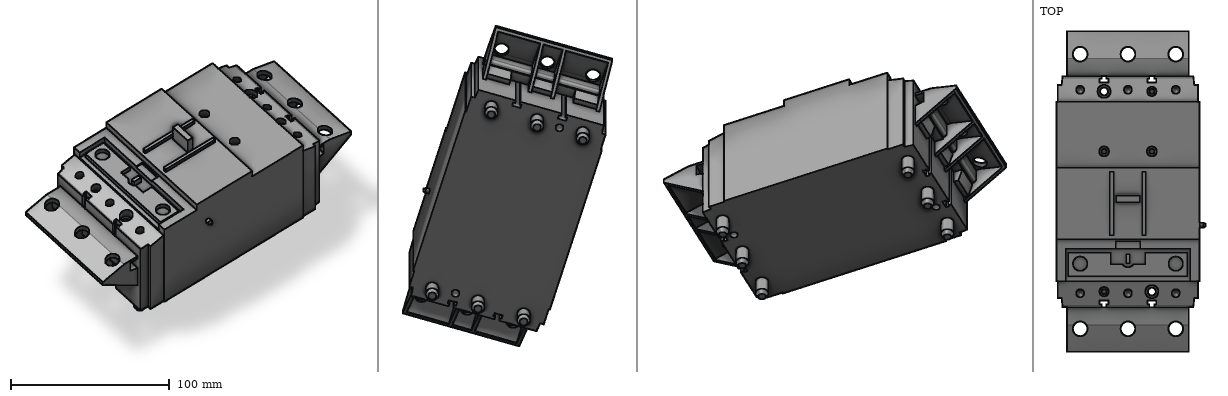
import cadquery as cq
import math


housing_width = 90.0
housing_half_length = 72.7
top_z = 67.9
main_half_length = 56.4
shoulder_y = 67.0
shoulder_half_width = 44.2
end_half_width_inner = 41.8
end_half_width_outer = 41.2
slope_high_z = 61.8
slope_low_z = 57.8
lip_length = 1.0

pole_pitch = 30.0
pole_xs = [-pole_pitch, 0, pole_pitch]
gap_x = pole_pitch / 2
terminal_y = 64.0

cover_back_y = 15.0
cover_front_y = -30.0
cover_top_z = 73.0
guide_back_y = 12.3
guide_front_y = -27.7
guide_inner_x = 9.0
guide_thickness = 2.2
guide_height = 2.5
handle_width = 14.7
handle_thickness = 4.0
handle_y = -4.6
handle_top_z = 84.2

recess_width = 78.5
recess_back_y = -36.2
recess_floor_z = 63.0
finger_width = 15.5
finger_back_y = -31.3
finger_floor_z = 66.9
panel_width = 75.0
panel_back_y = -38.5
panel_front_y = -53.3
panel_top_z = 66.3
panel_notch_width = 21.8
panel_notch_y = -45.9
dial_diameter = 8.0
dial_y = -43.6
window_diameter = 9.0
window_y = -45.5
slider_width = 2.5
slider_back_y = -39.5
slider_front_y = -45.2
slider_top_z = 67.3

terminal_hole_diameter = 5.0
terminal_hole_depth = 8.0
drill_tip_depth = 1.5
mount_y = 63.0
mount_hole_diameter = 4.8
mount_bore_diameter = 8.3
mount_bore_floor_z = 54.5
end_screw_diameter = 5.9
end_screw_floor_z = 54.5
cover_screw_y = 25.2
cover_screw_diameter = 6.3
cover_screw_depth = 6.0
screw_core_diameter = 3.2
screw_core_depth = 2.0

slot_stem_width = 3.0
slot_head_width = 5.5
slot_head_outer_y = 70.9
slot_head_inner_y = 68.7

plug_diameter = 8.0
plug_tip_diameter = 4.8
plug_length = 13.3
plug_tip_length = 3.0
side_pin_y = -21.2
side_pin_z = 52.0
side_pin_diameter = 3.2
side_pin_tip_diameter = 1.6
side_pin_length = 3.8
side_pin_tip_length = 1.5

shield_width = 76.8
shield_tip_y = 101.0
shield_bend_y = 83.8
shield_top_z = 48.7
shield_tip_top_z = 44.0
shield_tip_bottom_z = 41.2
shield_thickness = 3.8
window_top_z = 46.7
edge_bevel_depth = 2.0
shield_hole_y = 86.5
shield_hole_diameter = 9.0
rib_thickness = 2.2
rib_foot_z = 21.5
middle_rib_inner_x = 6.3
wall_inner_y = 78.5
wall_outer_y = 81.2
lip_foot_z = 37.5
lip_top_z = 39.2
lip_bottom_z = 33.0
wall_round_top_z = 37.2
wall_round_bottom_z = 34.3
tab_width = 15.1
tab_bottom_z = 24.2
tab_bottom_y = 75.7


def block(x_range, y_range, z_range):
    """Box between two limits on each axis."""
    lows, highs = zip(x_range, y_range, z_range)
    sizes = [high - low for low, high in zip(lows, highs)]
    return cq.Workplane("XY").box(*sizes, centered=False).translate(lows)


def centred_block(width, y_range, z_range):
    """Box centred on X = 0."""
    return block((-width / 2, width / 2), y_range, z_range)


def cylinder(diameter, x, y, z_low, z_high):
    """Vertical cylinder between two heights."""
    disc = cq.Workplane("XY", origin=(x, y, z_low)).circle(diameter / 2)
    return disc.extrude(z_high - z_low)


def slab_from_side_profile(points, x_low, x_high):
    """Side profile of (Y, Z) points extruded along X."""
    outline = cq.Workplane("YZ", origin=(x_low, 0, 0)).polyline(points).close()
    return outline.extrude(x_high - x_low)


def slope_z(y):
    """Height of the sloped terminal deck at a distance from the middle of the breaker."""
    slope_end_y = housing_half_length - lip_length
    along = (abs(y) - main_half_length) / (slope_end_y - main_half_length)
    return slope_high_z + along * (slope_low_z - slope_high_z)


def housing_envelope():
    """Plan outline with stepped ends, cut to the stepped and sloped side profile."""
    quarter = [
        (housing_width / 2, main_half_length),
        (shoulder_half_width, main_half_length),
        (shoulder_half_width, shoulder_y),
        (end_half_width_inner, shoulder_y),
        (end_half_width_outer, housing_half_length),
    ]
    back = quarter + [(-x, y) for x, y in reversed(quarter)]
    front = [(-x, -y) for x, y in back]
    plan = cq.Workplane("XY").polyline(back + front).close().extrude(cover_top_z)

    back_profile = [
        (housing_half_length, 0),
        (housing_half_length, slope_low_z),
        (housing_half_length - lip_length, slope_low_z),
        (main_half_length, slope_high_z),
        (main_half_length, top_z),
    ]
    cover_profile = [
        (cover_back_y, top_z),
        (cover_back_y, cover_top_z),
        (cover_front_y, cover_top_z),
        (cover_front_y, top_z),
    ]
    front_profile = [(-y, z) for y, z in reversed(back_profile)]
    profile = back_profile + cover_profile + front_profile
    return plan.intersect(slab_from_side_profile(profile, -housing_width / 2, housing_width / 2))


def guide_ribs():
    """Pair of ribs on the cover, one on each side of the handle."""
    y_range = (guide_front_y, guide_back_y)
    z_range = (cover_top_z, cover_top_z + guide_height)
    outer_x = guide_inner_x + guide_thickness
    right = block((guide_inner_x, outer_x), y_range, z_range)
    left = block((-outer_x, -guide_inner_x), y_range, z_range)
    return right.union(left)


def trip_recess():
    """Recess open to the front, with a shallow finger notch behind it."""
    recess = centred_block(recess_width, (-main_half_length, recess_back_y), (recess_floor_z, top_z))
    finger = centred_block(finger_width, (recess_back_y, finger_back_y), (finger_floor_z, top_z))
    return recess.union(finger)


def trip_panel():
    """Raised panel on the recess floor, with two round windows and a notch around a slider."""
    z_range = (recess_floor_z, panel_top_z)
    panel = centred_block(panel_width, (panel_front_y, panel_back_y), z_range)
    panel = panel.cut(centred_block(panel_notch_width, (panel_notch_y, panel_back_y), z_range))
    panel = panel.cut(cylinder(dial_diameter, 0, dial_y, *z_range))
    for x in (-pole_pitch, pole_pitch):
        panel = panel.cut(cylinder(window_diameter, x, window_y, *z_range))
    slider_heights = (recess_floor_z, slider_top_z)
    return panel.union(centred_block(slider_width, (slider_front_y, slider_back_y), slider_heights))


def terminal_hole(x, y):
    """Blind hole with a conical bottom, sunk from the sloped deck."""
    bottom_z = slope_z(y) - terminal_hole_depth
    radius = terminal_hole_diameter / 2
    hole = cylinder(terminal_hole_diameter, x, y, bottom_z, top_z)
    tip = cq.Solid.makeCone(0, radius, drill_tip_depth, cq.Vector(x, y, bottom_z - drill_tip_depth))
    return hole.union(cq.Workplane(tip))


def mount_hole(x, y):
    """Counterbored hole through the whole height."""
    bore = cylinder(mount_bore_diameter, x, y, mount_bore_floor_z, top_z)
    return bore.union(cylinder(mount_hole_diameter, x, y, 0, top_z))


def screw_hole(diameter, x, y, floor_z):
    """Blind screw hole with a smaller core below its floor."""
    head = cylinder(diameter, x, y, floor_z, top_z)
    return head.union(cylinder(screw_core_diameter, x, y, floor_z - screw_core_depth, floor_z))


def pole_slot(x, end):
    """T-slot through the whole height of one end face."""
    head_ys = sorted((end * slot_head_inner_y, end * slot_head_outer_y))
    stem_ys = sorted((end * slot_head_inner_y, end * housing_half_length))
    head = centred_block(slot_head_width, head_ys, (0, top_z))
    stem = centred_block(slot_stem_width, stem_ys, (0, top_z))
    return head.union(stem).translate((x, 0, 0))


def plug_pin(x, y):
    """Contact pin with a tapered tip, below the housing."""
    shank = cylinder(plug_diameter, x, y, plug_tip_length - plug_length, 0)
    tip = cq.Solid.makeCone(
        plug_tip_diameter / 2, plug_diameter / 2, plug_tip_length, cq.Vector(x, y, -plug_length)
    )
    return shank.union(cq.Workplane(tip))


def side_pin():
    """Short pin with a tapered tip on the +X side."""
    base = cq.Workplane("YZ", origin=(housing_width / 2, side_pin_y, side_pin_z))
    pin = base.circle(side_pin_diameter / 2).extrude(side_pin_length)
    bevel = (side_pin_diameter - side_pin_tip_diameter) / 2
    return pin.faces(">X").chamfer(side_pin_tip_length, bevel)


def make_housing():
    housing = housing_envelope().union(guide_ribs())
    housing = housing.cut(trip_recess()).union(trip_panel())
    for end in (-1, 1):
        for x in pole_xs:
            housing = housing.cut(terminal_hole(x, end * terminal_y))
            housing = housing.union(plug_pin(x, end * terminal_y))
        for x in (-gap_x, gap_x):
            housing = housing.cut(pole_slot(x, end))
        housing = housing.cut(mount_hole(-end * gap_x, end * mount_y))
        housing = housing.cut(
            screw_hole(end_screw_diameter, end * gap_x, end * mount_y, end_screw_floor_z)
        )
    for x in (-gap_x, gap_x):
        housing = housing.cut(
            screw_hole(cover_screw_diameter, x, cover_screw_y, top_z - cover_screw_depth)
        )
    return housing.union(side_pin())


def make_handle():
    half = handle_thickness / 2
    return centred_block(handle_width, (handle_y - half, handle_y + half), (cover_top_z, handle_top_z))


def shield_plate():
    """Bent top plate, thinner above the window, with a bevelled lower edge along its tip."""
    foot_slope = (shield_tip_bottom_z - rib_foot_z) / (shield_tip_y - housing_half_length)
    edge_y = shield_tip_y - edge_bevel_depth
    edge_z = shield_tip_bottom_z - edge_bevel_depth * foot_slope
    fall = (shield_top_z - shield_tip_top_z) / (shield_tip_y - shield_bend_y)
    under_edge_z = shield_tip_top_z + edge_bevel_depth * fall - shield_thickness
    under_z = shield_top_z - shield_thickness
    points = [
        (housing_half_length, shield_top_z),
        (shield_bend_y, shield_top_z),
        (shield_tip_y, shield_tip_top_z),
        (shield_tip_y, shield_tip_bottom_z),
        (edge_y, edge_z),
        (edge_y, under_edge_z),
        (shield_bend_y, under_z),
        (wall_inner_y, under_z),
        (wall_inner_y, window_top_z),
        (housing_half_length, window_top_z),
    ]
    return slab_from_side_profile(points, -shield_width / 2, shield_width / 2)


def shield_rib(x_low):
    """Triangular rib under the plate, with a window next to the housing."""
    points = [
        (housing_half_length, lip_foot_z),
        (wall_inner_y, lip_top_z),
        (wall_inner_y, window_top_z),
        (shield_bend_y, window_top_z),
        (shield_bend_y, shield_top_z),
        (shield_tip_y, shield_tip_top_z),
        (shield_tip_y, shield_tip_bottom_z),
        (housing_half_length, rib_foot_z),
    ]
    return slab_from_side_profile(points, x_low, x_low + rib_thickness)


def shield_wall():
    """Cross wall below the plate, rounded at its foot, with a lip that meets the housing."""
    round_depth = wall_outer_y - wall_inner_y
    round_height = wall_round_top_z - wall_round_bottom_z
    bulge = math.sqrt(0.5)
    middle = (wall_inner_y + bulge * round_depth, wall_round_top_z - bulge * round_height)
    outline = (
        cq.Workplane("YZ", origin=(-shield_width / 2, 0, 0))
        .moveTo(housing_half_length, lip_foot_z)
        .lineTo(wall_inner_y, lip_top_z)
        .lineTo(wall_inner_y, window_top_z)
        .lineTo(wall_outer_y, window_top_z)
        .lineTo(wall_outer_y, wall_round_top_z)
        .threePointArc(middle, (wall_inner_y, wall_round_bottom_z))
        .lineTo(wall_inner_y, lip_bottom_z)
        .lineTo(housing_half_length, lip_bottom_z)
        .close()
    )
    return outline.extrude(shield_width)


def shield_tab(x_low, x_high):
    """Tapered tab below the lip."""
    points = [
        (housing_half_length, lip_bottom_z),
        (wall_inner_y, lip_bottom_z),
        (tab_bottom_y, tab_bottom_z),
        (housing_half_length, tab_bottom_z),
    ]
    return slab_from_side_profile(points, x_low, x_high)


def make_shield():
    shield = shield_plate().union(shield_wall())
    inner_x = shield_width / 2 - rib_thickness
    rib_starts = [
        -shield_width / 2,
        -middle_rib_inner_x - rib_thickness,
        middle_rib_inner_x,
        inner_x,
    ]
    for x_low in rib_starts:
        shield = shield.union(shield_rib(x_low))
    tab_ranges = [
        (-inner_x, tab_width - inner_x),
        (-middle_rib_inner_x, middle_rib_inner_x),
        (inner_x - tab_width, inner_x),
    ]
    for x_low, x_high in tab_ranges:
        shield = shield.union(shield_tab(x_low, x_high))
    for x in pole_xs:
        shield = shield.cut(cylinder(shield_hole_diameter, x, shield_hole_y, 0, shield_top_z))
    return shield


housing = make_housing()
handle = make_handle()
back_shield = make_shield()
front_shield = back_shield.mirror("XZ")

result = cq.Compound.makeCompound(
    [housing.val(), handle.val(), back_shield.val(), front_shield.val()]
)